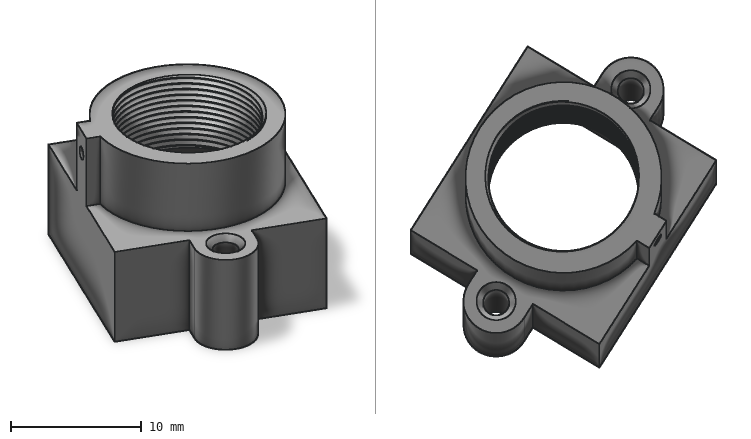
import cadquery as cq

overall_length = 24.6
body_side = 17.0
body_height = 8.0
ear_radius = 2.5
ear_center_x = overall_length / 2 - ear_radius
screw_hole_diameter = 2.0
countersink_diameter = 3.0
countersink_angle = 90.0

overall_height = 14.0
barrel_diameter = 15.0
barrel_height = overall_height - body_height
rib_width = 2.5
set_screw_diameter = 1.0
set_screw_height = 12.0

pocket_side = 14.0
pocket_depth = 7.5

bore_diameter = 11.51
thread_root_diameter = 12.1
thread_turns = 13
thread_pitch = (overall_height - pocket_depth) / thread_turns
crest_width = 0.032
groove_width = thread_pitch - crest_width
groove_overlap = 0.15
runout_turns = 1


def make_body():
    """Square block joined to two full-height rounded ears."""
    block = cq.Workplane("XY").rect(body_side, body_side).extrude(body_height)
    ears = cq.Workplane("XY").slot2D(overall_length, 2 * ear_radius).extrude(body_height)
    return block.union(ears)


def make_barrel():
    """Round barrel with a flat rib reaching the front face of the body."""
    barrel = (
        cq.Workplane("XY", origin=(0, 0, body_height))
        .circle(barrel_diameter / 2)
        .extrude(barrel_height)
    )
    rib = (
        cq.Workplane("XY", origin=(0, -body_side / 4, body_height))
        .rect(rib_width, body_side / 2)
        .extrude(barrel_height)
    )
    return barrel.union(rib)


def make_thread_groove():
    """Helical V groove that runs out through both ends of the bore.

    One helix follows each corner of the groove section; ruled faces join
    neighbouring helices and a flat face closes each end.
    """
    bore_radius = bore_diameter / 2
    inner_radius = bore_radius - groove_overlap
    half_width = groove_width / 2
    section = [
        (inner_radius, -half_width),
        (bore_radius, -half_width),
        (thread_root_diameter / 2, 0),
        (bore_radius, half_width),
        (inner_radius, half_width),
    ]
    start_z = pocket_depth - runout_turns * thread_pitch
    length = (thread_turns + 2 * runout_turns) * thread_pitch
    helices = [
        cq.Wire.makeHelix(thread_pitch, length, radius, center=cq.Vector(0, 0, start_z + offset))
        for radius, offset in section
    ]
    faces = [
        cq.Face.makeRuledSurface(helix, next_helix)
        for helix, next_helix in zip(helices, helices[1:] + helices[:1])
    ]
    for end_points in (
        [helix.startPoint() for helix in helices],
        [helix.endPoint() for helix in helices],
    ):
        faces.append(cq.Face.makeFromWires(cq.Wire.makePolygon(end_points, close=True)))
    groove = cq.Solid.makeSolid(cq.Shell.makeShell(faces))
    return cq.Workplane(groove).rotate((0, 0, 0), (0, 0, 1), 90)


def make_set_screw_hole():
    """Radial hole through the rib into the bore."""
    return (
        cq.Workplane("XZ", origin=(0, 0, set_screw_height))
        .circle(set_screw_diameter / 2)
        .extrude(body_side / 2)
    )


bore = cq.Workplane("XY").circle(bore_diameter / 2).extrude(overall_height)
pocket = cq.Workplane("XY").rect(pocket_side, pocket_side).extrude(pocket_depth)

result = make_body().union(make_barrel())
result = (
    result.cut(bore)
    .cut(pocket)
    .cut(make_thread_groove())
    .cut(make_set_screw_hole())
)
result = (
    result.copyWorkplane(cq.Workplane("XY", origin=(0, 0, body_height)))
    .pushPoints([(-ear_center_x, 0), (ear_center_x, 0)])
    .cskHole(screw_hole_diameter, countersink_diameter, countersink_angle)
)